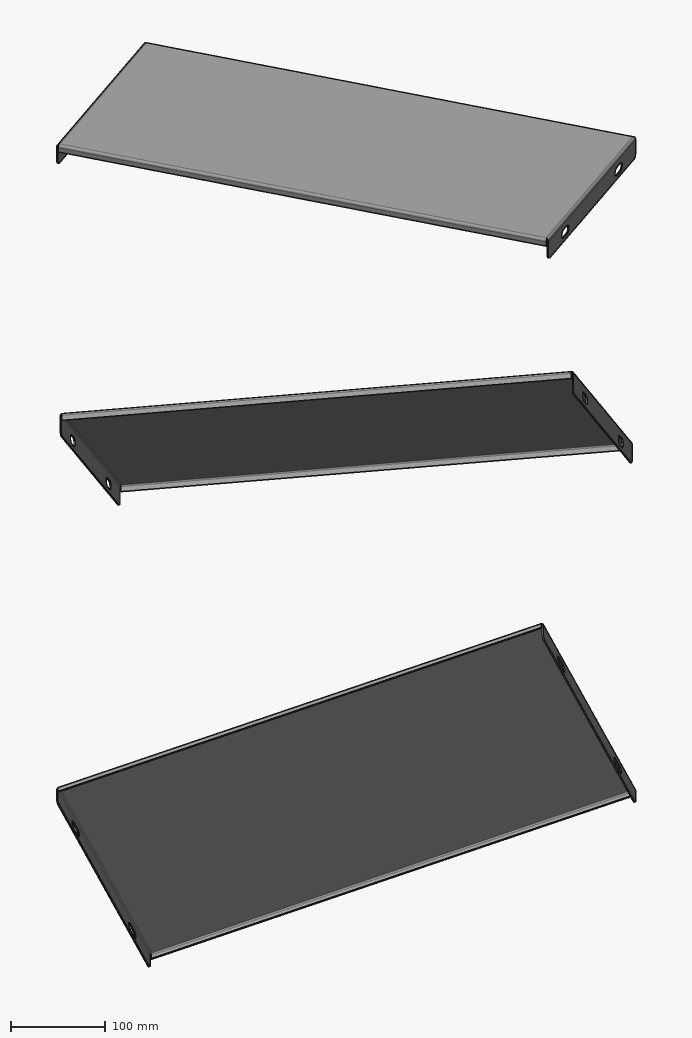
import cadquery as cq

length = 562.0
width = 249.0
height = 25.0
thickness = 1.5
inner_bend_radius = 1.5
outer_bend_radius = inner_bend_radius + thickness
lip_height = 8.5
notch_length = 2.0
notch_width = 1.5
flange_corner_radius = 4.5

slot_length = 20.0
slot_height = 10.0
slot_spacing = 150.0
slot_drop = 15.0


def rounded_block(size_x, size_y, top, bend_radius):
    """Block standing on Z = 0 with its four top edges rounded."""
    block = cq.Workplane("XY").box(size_x, size_y, top, centered=(True, True, False))
    return block.faces(">Z").edges().fillet(bend_radius)


def end_profile():
    """Prism along X: full-width upper band with the rounded end flange below it."""
    flange_width = width - 2 * notch_width
    upper_band = (
        cq.Workplane("XY")
        .box(length, width, lip_height, centered=(True, True, False))
        .translate((0, 0, height - lip_height))
    )
    flange_block = (
        cq.Workplane("XY")
        .box(length, flange_width, height, centered=(True, True, False))
        .edges("|X and <Z")
        .fillet(flange_corner_radius)
    )
    return upper_band.union(flange_block)


def side_openings():
    """Prism along Y that clears everything under the side lips between the end flanges."""
    opening_height = height - lip_height
    return cq.Workplane("XY").box(
        length - 2 * thickness, width, opening_height, centered=(True, True, False)
    )


shell = rounded_block(length, width, height, outer_bend_radius).cut(
    rounded_block(
        length - 2 * thickness, width - 2 * thickness, height - thickness, inner_bend_radius
    )
)

shelf = shell.intersect(end_profile()).cut(side_openings())

notches = (
    cq.Workplane("XY")
    .rect(length - notch_length, width - notch_width, forConstruction=True)
    .vertices()
    .rect(notch_length, notch_width)
    .extrude(height)
)
shelf = shelf.cut(notches)

slots = (
    cq.Workplane("YZ")
    .pushPoints([(side * slot_spacing / 2, height - slot_drop) for side in (-1, 1)])
    .slot2D(slot_length, slot_height)
    .extrude(length / 2, both=True)
)
result = shelf.cut(slots)